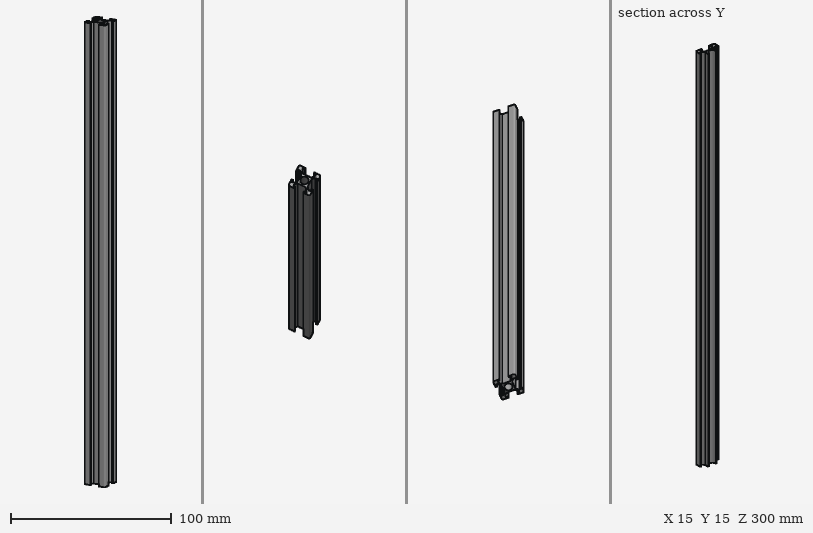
import cadquery as cq
import math

length = 300.0
width = 15.0
slot_opening = 6.0
lip_thickness = 1.05
pad_size = 3.0
corner_radius = 1.0
core_width = 7.2
web_thickness = 1.2
bore_diameter = 5.0

half_width = width / 2
lip_length = (width - slot_opening) / 2
pad_centre = half_width - pad_size / 2


def bar(size_x, size_y):
    """Full-length rectangular bar centred on the axis."""
    return cq.Workplane("XY").rect(size_x, size_y).extrude(length)


def turned(body, angle):
    """Body turned about the Z axis."""
    return body.rotate((0, 0, 0), (0, 0, 1), angle)


def corner():
    """Corner pad with one lip along each outer face and a rounded outer edge."""
    lip_centre = half_width - lip_length / 2
    lip_offset = half_width - lip_thickness / 2
    pad = bar(pad_size, pad_size).translate((pad_centre, pad_centre, 0))
    lip_along_x = bar(lip_length, lip_thickness).translate((lip_centre, lip_offset, 0))
    lip_along_y = bar(lip_thickness, lip_length).translate((lip_offset, lip_centre, 0))
    body = pad.union(lip_along_x).union(lip_along_y)
    return body.edges("|Z and >(1, 1, 0)").fillet(corner_radius)


profile = bar(core_width, core_width)

web_length = 2 * math.sqrt(2) * pad_centre
for web_angle in (45, 135):
    profile = profile.union(turned(bar(web_length, web_thickness), web_angle))

for quarter in range(4):
    profile = profile.union(turned(corner(), 90 * quarter))

bore = cq.Workplane("XY").circle(bore_diameter / 2).extrude(length)
result = profile.cut(bore)